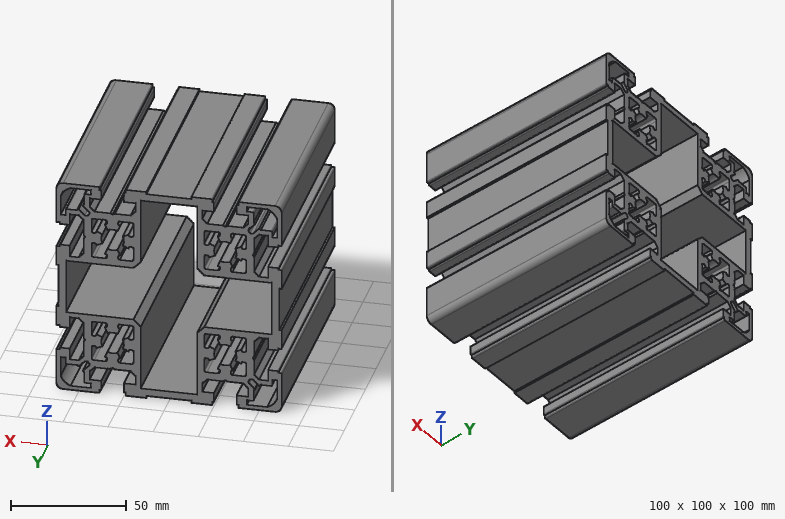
import cadquery as cq
import math

size = 100.0
half_size = size / 2
corner_radius = 3.0

slot_offset = 25.0
mouth_half = 5.8
throat_half = 5.0
mouth_depth = 1.5
lip_radius = 0.4
lip_depth = 6.0
slot_half = 10.2
slot_depth = 12.2
slot_chamfer = 2.2
groove_half = 1.0
groove_depth = 0.5

recess_width = 20.0
recess_depth = 1.0

cross_width = 25.0
cross_wall = 4.4
cross_chamfer = 3.2

chamber_half = 9.3
chamber_radius = 1.0
bore_radius = 5.0
root_half = 3.2
neck_half = 2.4
neck_height = 1.0
barb_half = 3.4
barb_height = 2.2
tip_half = 2.2

hollow_wall = 2.0
hollow_corner = 4.4
hollow_arc_radius = 7.5
hollow_reach = 15.4
hollow_step = 4.2
hollow_side = 12.4
hollow_side_radius = 0.5
slit_half_width = 1.3
slit_lip_depth = 11.8
slit_lip_root = 9.2
slit_end = 14.2
slit_end_radius = 1.0


def prism(points):
    """Extrude a closed XZ outline over the full length of the part."""
    return cq.Workplane("XZ").polyline(points).close().extrude(half_size, both=True)


def box(width, height, x=0.0, z=0.0):
    """Full-length bar of the given XZ size, centred at (x, z)."""
    return cq.Workplane("XY").box(width, size, height).translate((x, 0, z))


def turned(shape, quarter_turns, center=(0.0, 0.0)):
    """Turn a shape by quarter turns about a Y line through center (x, z)."""
    x, z = center
    return shape.rotate((x, 0, z), (x, 1, z), 90 * quarter_turns)


def edge_at(x, z):
    """Selector for the lengthwise edge at (x, z)."""
    margin = 0.1
    return cq.selectors.BoxSelector((x - margin, -size, z - margin), (x + margin, size, z + margin))


def make_slot():
    """T-slot opening upward at the top side, centred on x = slot_offset."""
    right_side = [
        (mouth_half, 0),
        (mouth_half, mouth_depth),
        (throat_half, mouth_depth),
        (throat_half, lip_depth),
        (slot_half, lip_depth),
        (slot_half, slot_depth - slot_chamfer),
        (slot_half - slot_chamfer, slot_depth),
        (groove_half, slot_depth),
    ]
    groove_bottom = [(0, slot_depth + groove_depth)]
    left_side = [(-x, depth) for x, depth in reversed(right_side)]
    outline = right_side + groove_bottom + left_side
    slot = prism([(slot_offset + x, half_size - depth) for x, depth in outline])
    for x in (slot_offset - throat_half, slot_offset + throat_half):
        slot = slot.edges(edge_at(x, half_size - mouth_depth)).fillet(lip_radius)
    for side in (-1, 1):
        edge_x = slot_offset + side * mouth_half
        flare = (
            cq.Workplane("XZ")
            .moveTo(edge_x, half_size)
            .lineTo(edge_x + side * lip_radius, half_size)
            .radiusArc((edge_x, half_size - lip_radius), -side * lip_radius)
            .close()
            .extrude(half_size, both=True)
        )
        slot = slot.union(flare)
    return slot


def make_recess():
    """Shallow recess in the middle of the top side."""
    return box(recess_width, 2 * recess_depth, z=half_size)


def make_cross():
    """Cross-shaped opening with chamfered inward corners."""
    length = size - 2 * cross_wall
    inner = cross_width / 2
    outer = inner + cross_chamfer
    center = prism([
        (inner, outer), (outer, inner), (outer, -inner), (inner, -outer),
        (-inner, -outer), (-outer, -inner), (-outer, inner), (-inner, outer),
    ])
    return box(cross_width, length).union(box(length, cross_width)).union(center)


def make_chamber():
    """Square chamber with four barbed ribs, cut back by the central bore."""
    center = (slot_offset, slot_offset)
    chamber = box(2 * chamber_half, 2 * chamber_half, *center).edges("|Y").fillet(chamber_radius)
    tip_height = chamber_half - math.sqrt(bore_radius**2 - tip_half**2)
    x0, z0 = center
    top = z0 + chamber_half

    def right(half_width, height):
        return (x0 + half_width, top - height)

    def left(half_width, height):
        return (x0 - half_width, top - height)

    rib = (
        cq.Workplane("XZ")
        .moveTo(*right(root_half, 0))
        .threePointArc(right(neck_half, neck_height), right(barb_half, barb_height))
        .lineTo(*right(tip_half, tip_height))
        .threePointArc((x0, z0 + bore_radius), left(tip_half, tip_height))
        .lineTo(*left(barb_half, barb_height))
        .threePointArc(left(neck_half, neck_height), left(root_half, 0))
        .close()
        .extrude(half_size, both=True)
    )
    for turn in range(4):
        chamber = chamber.cut(turned(rib, turn, center))
    return chamber


def make_hollow():
    """Hollow in the +X +Z corner, symmetric about the corner diagonal."""
    outer = half_size - hollow_wall
    far = half_size - hollow_reach
    step = half_size - hollow_step
    side = half_size - hollow_side
    end = half_size - slit_end
    slit_shift = slit_half_width / math.sqrt(2)
    lip_root = half_size - slit_lip_root
    lip_far = half_size - slit_lip_depth
    lip_near = lip_far + 2 * slit_shift
    arc_start = outer - hollow_corner
    upper_half = [
        (arc_start, outer), (far, outer), (far, step), (side, step),
        (side, lip_root), (lip_far, lip_near),
    ]
    lower_half = [(z, x) for x, z in reversed(upper_half)]
    body = (
        cq.Workplane("XZ")
        .polyline(upper_half + lower_half)
        .radiusArc(upper_half[0], -hollow_arc_radius)
        .close()
        .extrude(half_size, both=True)
    )
    for x, z in ((side, step), (step, side)):
        body = body.edges(edge_at(x, z)).fillet(hollow_side_radius)
    middle = (half_size - hollow_step + end) / 2
    slit_length = math.sqrt(2) * (step - end)
    slit = (
        cq.Workplane("XY")
        .box(slit_length, size, 2 * slit_half_width)
        .edges("|Y and <X")
        .fillet(slit_end_radius)
        .rotate((0, 0, 0), (0, 1, 0), -45)
        .translate((middle, 0, middle))
    )
    return body.union(slit)


profile = box(size, size).edges("|Y").fillet(corner_radius).cut(make_cross())
slot = make_slot()
side_cutters = [slot, slot.mirror("YZ"), make_recess(), make_chamber(), make_hollow()]
for turn in range(4):
    for cutter in side_cutters:
        profile = profile.cut(turned(cutter, turn))

result = profile